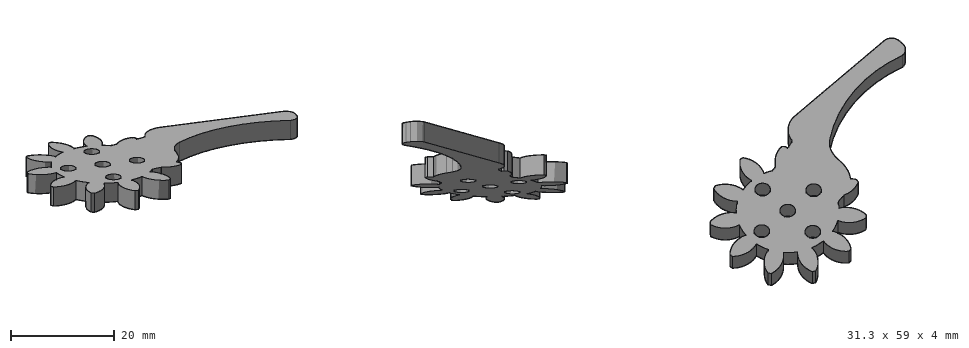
import math

import cadquery as cq

thickness = 4.0

hub_radius = 10.0
hole_diameter = 3.0
hole_pitch = 7.0

petal_count = 11
petal_half_width = 1.81
petal_tip_radius = 15.31
petal_tip_half_width = 0.35
petal_middle_radius = 11.7
first_petal_angle = -90.0

handle_tip_y = 43.67
handle_left_x = -16.07
handle_tip_width = 5.0
handle_tip_corner = 2.0

hollow_middle = (-10.81, 26.31)
hollow_end = (-6.59, 17.76)
bend_middle = (-5.04, 16.36)
bend_end = (-2.8, 15.6)
crest_start = (-1.2, 15.5)
crest_middle = (1.1, 15.1)
crest_end = (3.0, 14.1)
right_root_start = (5.0, 10.3)
right_root_middle = (5.15, 9.2)
right_root_end = (5.6, 7.95)
left_root_start = (-8.98, 4.5)
left_root_middle = (-9.08, 5.1)
left_root_end = (-9.4, 5.87)
notch_start = (-10.75, 10.3)
notch_middle = (-10.97, 11.3)
notch_end = (-11.4, 12.2)
heel_middle = (-14.3, 14.0)
heel_end = (-15.25, 16.98)


def make_hub():
    """Disc that carries the teeth."""
    return cq.Workplane("XY").circle(hub_radius).extrude(thickness)


def make_petal(angle):
    """One petal tooth, turned to the given angle about the hub axis."""
    inner_end_radius = 2 * petal_middle_radius - petal_tip_radius
    petal = (
        cq.Workplane("XY")
        .moveTo(inner_end_radius, petal_tip_half_width)
        .threePointArc(
            (petal_middle_radius, petal_half_width),
            (petal_tip_radius, petal_tip_half_width),
        )
        .lineTo(petal_tip_radius, -petal_tip_half_width)
        .threePointArc(
            (petal_middle_radius, -petal_half_width),
            (inner_end_radius, -petal_tip_half_width),
        )
        .close()
        .extrude(thickness)
    )
    return petal.rotate((0, 0, 0), (0, 0, 1), angle)


def make_handle():
    """Tapering curved arm whose root spreads over the upper part of the hub."""
    corner_inset = handle_tip_corner * (1 - math.sqrt(0.5))
    tip_right_x = handle_left_x + handle_tip_width
    shoulder_y = handle_tip_y - handle_tip_corner
    tip_left = (handle_left_x, shoulder_y)
    tip_right = (tip_right_x, shoulder_y)
    outline = (
        cq.Workplane("XY")
        .moveTo(*tip_left)
        .threePointArc(
            (handle_left_x + corner_inset, handle_tip_y - corner_inset),
            (handle_left_x + handle_tip_corner, handle_tip_y),
        )
        .lineTo(tip_right_x - handle_tip_corner, handle_tip_y)
        .threePointArc((tip_right_x - corner_inset, handle_tip_y - corner_inset), tip_right)
        .threePointArc(hollow_middle, hollow_end)
        .threePointArc(bend_middle, bend_end)
        .lineTo(*crest_start)
        .threePointArc(crest_middle, crest_end)
        .lineTo(*right_root_start)
        .threePointArc(right_root_middle, right_root_end)
        .lineTo(0, 0)
        .lineTo(*left_root_start)
        .threePointArc(left_root_middle, left_root_end)
        .lineTo(*notch_start)
        .threePointArc(notch_middle, notch_end)
        .threePointArc(heel_middle, heel_end)
        .close()
    )
    return outline.extrude(thickness)


def cut_holes(body):
    """Centre hole and four holes around it."""
    centers = [(0, 0), (hole_pitch, 0), (-hole_pitch, 0), (0, hole_pitch), (0, -hole_pitch)]
    holes = cq.Workplane("XY").pushPoints(centers).circle(hole_diameter / 2).extrude(thickness)
    return body.cut(holes)


body = make_hub().union(make_handle())
for index in range(petal_count):
    body = body.union(make_petal(first_petal_angle + index * 360 / petal_count))
result = cut_holes(body)